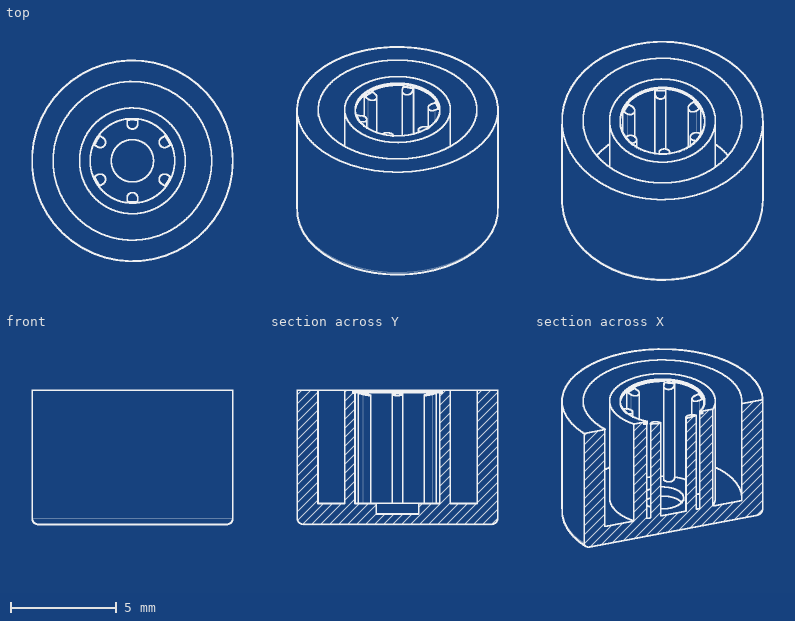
import cadquery as cq

OUTER_DIAMETER = 9.5
HEIGHT = 6.35
BOTTOM_FILLET = 0.3
FLOOR_THICKNESS = 1.0

GAP_DIAMETER = 7.5
SLEEVE_DIAMETER = 5.0

SOCKET_DIAMETER = 4.0
RELIEF_DIAMETER = 2.0
RELIEF_DEPTH = 0.5

GROOVE_DIAMETER = 4.2
GROOVE_TOP_DROP = 0.07
GROOVE_WIDTH = 0.06

RIB_COUNT = 6
RIB_WIDTH = 0.5
RIB_TIP_RADIUS = 1.5
LEAD_IN_RADIUS = 1.935
LEAD_IN_TOP_DROP = 0.165
LEAD_IN_TIP_DROP = 0.26

CAVITY_DEPTH = HEIGHT - FLOOR_THICKNESS
RIB_TOP_DROP = GROOVE_TOP_DROP + GROOVE_WIDTH
RIB_ROOT_RADIUS = (SOCKET_DIAMETER + GROOVE_DIAMETER) / 4
RIB_PITCH_ANGLE = 360 / RIB_COUNT


def make_cup():
    """Solid cylinder with a rounded bottom edge."""
    cylinder = cq.Workplane("XY").circle(OUTER_DIAMETER / 2).extrude(HEIGHT)
    return cylinder.faces("<Z").edges().fillet(BOTTOM_FILLET)


def make_gap():
    """Ring-shaped cavity around the sleeve."""
    return (
        cq.Workplane("XY")
        .workplane(offset=FLOOR_THICKNESS)
        .circle(GAP_DIAMETER / 2)
        .circle(SLEEVE_DIAMETER / 2)
        .extrude(CAVITY_DEPTH)
    )


def make_socket():
    """Round socket with a smaller blind relief in its floor."""
    socket = (
        cq.Workplane("XY")
        .workplane(offset=FLOOR_THICKNESS)
        .circle(SOCKET_DIAMETER / 2)
        .extrude(CAVITY_DEPTH)
    )
    relief = (
        cq.Workplane("XY")
        .workplane(offset=FLOOR_THICKNESS - RELIEF_DEPTH)
        .circle(RELIEF_DIAMETER / 2)
        .extrude(RELIEF_DEPTH)
    )
    return socket.union(relief)


def make_groove():
    """Shallow undercut that runs around the socket wall near its mouth."""
    return (
        cq.Workplane("XY")
        .workplane(offset=HEIGHT - RIB_TOP_DROP)
        .circle(GROOVE_DIAMETER / 2)
        .extrude(GROOVE_WIDTH)
    )


def make_rib():
    """One round-nosed rib on the +Y side, rooted in the sleeve wall."""
    half_width = RIB_WIDTH / 2
    nose_start = RIB_TIP_RADIUS + half_width
    return (
        cq.Workplane("XY")
        .workplane(offset=FLOOR_THICKNESS)
        .moveTo(-half_width, RIB_ROOT_RADIUS)
        .lineTo(-half_width, nose_start)
        .threePointArc((0, RIB_TIP_RADIUS), (half_width, nose_start))
        .lineTo(half_width, RIB_ROOT_RADIUS)
        .close()
        .extrude(CAVITY_DEPTH - RIB_TOP_DROP)
    )


def make_lead_in():
    """Cutter that steps the rib tops down and slopes them towards the axis."""
    tip_height = HEIGHT - LEAD_IN_TIP_DROP
    return (
        cq.Workplane("XZ")
        .moveTo(0, HEIGHT)
        .lineTo(LEAD_IN_RADIUS, HEIGHT)
        .lineTo(LEAD_IN_RADIUS, HEIGHT - LEAD_IN_TOP_DROP)
        .lineTo(RIB_TIP_RADIUS, tip_height)
        .lineTo(0, tip_height)
        .close()
        .revolve(360, (0, 0, 0), (0, 1, 0))
    )


result = make_cup().cut(make_gap()).cut(make_socket()).cut(make_groove())
rib = make_rib().cut(make_lead_in())
for index in range(RIB_COUNT):
    result = result.union(rib.rotate((0, 0, 0), (0, 0, 1), index * RIB_PITCH_ANGLE))